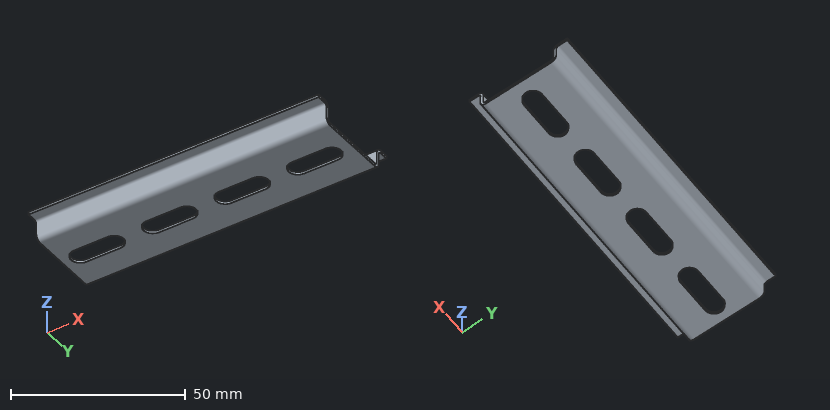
import cadquery as cq

rail_length = 100.0
rail_width = 35.0
rail_height = 7.5

sheet_thickness = 1.0
channel_outer_width = 27.0
inner_bend_radius = 1.0
outer_bend_radius = inner_bend_radius + sheet_thickness

slot_length = 18.0
slot_width = 6.3
slot_pitch = 25.0
slot_count = 4
first_slot_center = 12.0


def hat_section():
    """Closed hat profile in the YZ plane, symmetric about the XZ plane, floor on Z = 0."""
    half_width = rail_width / 2
    outer_wall = channel_outer_width / 2
    inner_wall = outer_wall - sheet_thickness
    flange_underside = rail_height - sheet_thickness

    flange_tangent = outer_wall + inner_bend_radius
    floor_tangent = inner_wall - inner_bend_radius
    upper_wall_end = rail_height - outer_bend_radius
    lower_wall_end = outer_bend_radius

    return (
        cq.Workplane("YZ")
        .moveTo(-half_width, flange_underside)
        .lineTo(-flange_tangent, flange_underside)
        .radiusArc((-outer_wall, upper_wall_end), inner_bend_radius)
        .lineTo(-outer_wall, lower_wall_end)
        .radiusArc((-floor_tangent, 0), -outer_bend_radius)
        .lineTo(floor_tangent, 0)
        .radiusArc((outer_wall, lower_wall_end), -outer_bend_radius)
        .lineTo(outer_wall, upper_wall_end)
        .radiusArc((flange_tangent, flange_underside), inner_bend_radius)
        .lineTo(half_width, flange_underside)
        .lineTo(half_width, rail_height)
        .lineTo(flange_tangent, rail_height)
        .radiusArc((inner_wall, upper_wall_end), -outer_bend_radius)
        .lineTo(inner_wall, lower_wall_end)
        .radiusArc((floor_tangent, sheet_thickness), inner_bend_radius)
        .lineTo(-floor_tangent, sheet_thickness)
        .radiusArc((-inner_wall, lower_wall_end), inner_bend_radius)
        .lineTo(-inner_wall, upper_wall_end)
        .radiusArc((-flange_tangent, rail_height), -outer_bend_radius)
        .lineTo(-half_width, rail_height)
        .close()
    )


def slot_cutters():
    """Row of obround cutters along the rail axis, passing through the floor."""
    centers = [(first_slot_center + i * slot_pitch, 0) for i in range(slot_count)]
    return (
        cq.Workplane("XY")
        .pushPoints(centers)
        .slot2D(slot_length, slot_width)
        .extrude(sheet_thickness)
    )


result = hat_section().extrude(rail_length).cut(slot_cutters())